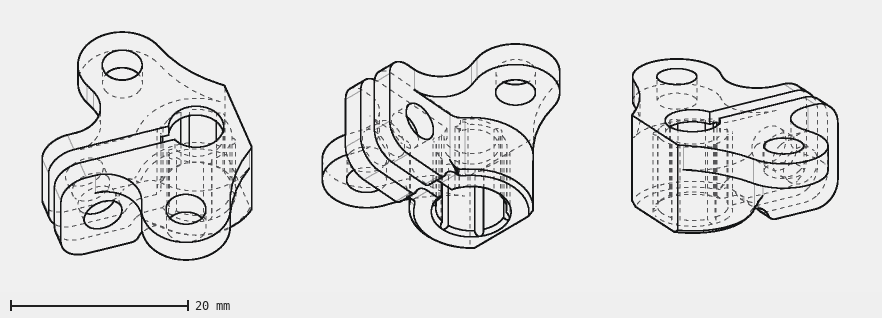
import cadquery as cq
import math


plate_thickness = 3.0
back_y = 5.0
lug_radius = 5.0
lug_pitch_radius = 12.5
lug_y = -5.0
lug_x = math.sqrt(lug_pitch_radius**2 - lug_y**2)
lug_hole_diameter = 4.5
upper_blend_radius = 15.0
lower_blend_radius = 4.0
lower_edge_angle = math.radians(18.5)

boss_radius = 7.0
boss_bottom_z = -11.0
boss_ear_fillet = 2.0
chamfer_size = 0.5

lip_diameter = 6.2
lip_depth = 1.5
socket_radius = 4.0
groove_radius = 0.5
groove_count = 6

slot_width = 2.1
ear_half_width = 3.4
ear_front_y = -17.17
ear_bottom_z = -12.9
ear_corner_radius = 3.0
ear_hole_diameter = 4.5
ear_hole_setback = 5.0
ear_hole_y = ear_front_y + ear_hole_setback
ear_hole_z = -7.0
ear_step_end_y = -8.9
ear_step_upper_radius = 2.0
ear_step_lower_radius = 1.0

trim_height = 1.34
trim_run = 1.5

overshoot = 1.0

boss_fillet_x = ear_half_width + boss_ear_fillet
boss_fillet_y = -math.sqrt((boss_radius + boss_ear_fillet) ** 2 - boss_fillet_x**2)


def blend_center(x1, y1, r1, x2, y2, r2):
    """Where two circles cross, on the left of the line from center 1 to center 2."""
    distance = math.hypot(x2 - x1, y2 - y1)
    along = (distance**2 + r1**2 - r2**2) / (2 * distance)
    aside = math.sqrt(r1**2 - along**2)
    ux = (x2 - x1) / distance
    uy = (y2 - y1) / distance
    return x1 + along * ux - aside * uy, y1 + along * uy + aside * ux


def toward(x1, y1, x2, y2, distance):
    """Point at a given distance from point 1 in the direction of point 2."""
    length = math.hypot(x2 - x1, y2 - y1)
    return x1 + (x2 - x1) * distance / length, y1 + (y2 - y1) * distance / length


def arc_middle(center_x, center_y, radius, start, end):
    """Middle of the shorter arc between two points on a circle."""
    chord_x = (start[0] + end[0]) / 2
    chord_y = (start[1] + end[1]) / 2
    return toward(center_x, center_y, chord_x, chord_y, radius)


def polar(center_x, center_y, radius, angle):
    """Point on a circle at an angle measured from the first axis."""
    return center_x + radius * math.cos(angle), center_y + radius * math.sin(angle)


def make_plate():
    """Flange plate with two rounded mounting lugs."""
    back_corner = (math.sqrt(boss_radius**2 - back_y**2), back_y)
    upper_x, upper_y = blend_center(
        0, 0, boss_radius + upper_blend_radius, lug_x, lug_y, lug_radius + upper_blend_radius
    )
    boss_tangent = toward(0, 0, upper_x, upper_y, boss_radius)
    boss_middle = arc_middle(0, 0, boss_radius, back_corner, boss_tangent)
    lug_tangent = toward(lug_x, lug_y, upper_x, upper_y, lug_radius)
    upper_middle = arc_middle(upper_x, upper_y, upper_blend_radius, boss_tangent, lug_tangent)

    edge_normal = -math.pi / 2 - lower_edge_angle
    lug_end = polar(lug_x, lug_y, lug_radius, edge_normal)
    lower_x = ear_half_width + lower_blend_radius
    edge_end_x = lower_x + lower_blend_radius * math.sin(lower_edge_angle)
    edge_end_y = lug_end[1] + (lug_end[0] - edge_end_x) * math.tan(lower_edge_angle)
    lower_y = edge_end_y - lower_blend_radius * math.cos(lower_edge_angle)
    edge_end = (edge_end_x, edge_end_y)
    ear_point = (ear_half_width, lower_y)
    lower_middle = arc_middle(lower_x, lower_y, lower_blend_radius, edge_end, ear_point)

    half = (
        cq.Workplane("XY")
        .moveTo(0, back_y)
        .lineTo(*back_corner)
        .threePointArc(boss_middle, boss_tangent)
        .threePointArc(upper_middle, lug_tangent)
        .threePointArc((lug_x + lug_radius, lug_y), lug_end)
        .lineTo(*edge_end)
        .threePointArc(lower_middle, ear_point)
        .lineTo(0, lower_y)
        .close()
        .extrude(-plate_thickness)
    )
    plate = half.union(half.mirror("YZ"))
    lug_holes = (
        cq.Workplane("XY")
        .pushPoints([(-lug_x, lug_y), (lug_x, lug_y)])
        .circle(lug_hole_diameter / 2)
        .extrude(-plate_thickness)
    )
    return plate.cut(lug_holes)


def make_boss():
    """Flat-backed round boss, blended into the ear faces and chamfered at the bottom."""
    back_corner = (math.sqrt(boss_radius**2 - back_y**2), back_y)
    tangent = toward(0, 0, boss_fillet_x, boss_fillet_y, boss_radius)
    ear_point = (ear_half_width, boss_fillet_y)
    fillet_middle = arc_middle(boss_fillet_x, boss_fillet_y, boss_ear_fillet, tangent, ear_point)
    half = (
        cq.Workplane("XY")
        .moveTo(0, back_y)
        .lineTo(*back_corner)
        .threePointArc((boss_radius, 0), tangent)
        .threePointArc(fillet_middle, ear_point)
        .lineTo(0, boss_fillet_y)
        .close()
        .extrude(boss_bottom_z)
    )
    boss = half.union(half.mirror("YZ"))
    boss = boss.faces("<Z").edges("%CIRCLE").chamfer(chamfer_size)
    trim = (
        cq.Workplane("YZ")
        .moveTo(boss_fillet_y, boss_bottom_z)
        .lineTo(boss_fillet_y, boss_bottom_z + trim_height)
        .lineTo(boss_fillet_y + trim_run, boss_bottom_z)
        .close()
        .extrude(boss_radius, both=True)
    )
    return boss.cut(trim)


def make_ears():
    """Both clamp ears as one block, with its cross hole, that the slot later splits."""
    drop = boss_bottom_z - ear_bottom_z
    radius_sum = ear_step_upper_radius + ear_step_lower_radius
    step_angle = math.acos(1 - drop / radius_sum)
    step_start_y = ear_step_end_y + radius_sum * math.sin(step_angle)
    upper_center = (step_start_y, boss_bottom_z - ear_step_upper_radius)
    lower_center = (ear_step_end_y, ear_bottom_z + ear_step_lower_radius)
    inflection = polar(*upper_center, ear_step_upper_radius, math.pi / 2 + step_angle)
    upper_middle = polar(*upper_center, ear_step_upper_radius, math.pi / 2 + step_angle / 2)
    lower_middle = polar(*lower_center, ear_step_lower_radius, -math.pi / 2 + step_angle / 2)
    profile = (
        cq.Workplane("YZ")
        .moveTo(0, 0)
        .lineTo(ear_front_y, 0)
        .lineTo(ear_front_y, ear_bottom_z)
        .lineTo(ear_step_end_y, ear_bottom_z)
        .threePointArc(lower_middle, inflection)
        .threePointArc(upper_middle, (step_start_y, boss_bottom_z))
        .lineTo(0, boss_bottom_z)
        .close()
    )
    ears = profile.extrude(ear_half_width, both=True)
    ears = ears.edges("|X and <Y").fillet(ear_corner_radius)
    hole = (
        cq.Workplane("YZ")
        .center(ear_hole_y, ear_hole_z)
        .circle(ear_hole_diameter / 2)
        .extrude(ear_half_width, both=True)
    )
    return ears.cut(hole)


def make_bore():
    """Narrow lip above a grooved socket with a chamfered mouth."""
    lip = cq.Workplane("XY").circle(lip_diameter / 2).extrude(-lip_depth)
    socket_height = -boss_bottom_z - lip_depth
    bottom = cq.Workplane("XY", origin=(0, 0, boss_bottom_z))
    socket = bottom.circle(socket_radius).extrude(socket_height)
    grooves = (
        bottom
        .polarArray(socket_radius, 0, 360, groove_count)
        .circle(groove_radius)
        .extrude(socket_height)
    )
    mouth = (
        bottom
        .circle(socket_radius + chamfer_size)
        .workplane(offset=chamfer_size)
        .circle(socket_radius)
        .loft()
    )
    return lip.union(socket).union(grooves).union(mouth)


def make_slot():
    """Slot from the bore axis out through the front, splitting the ears."""
    length = -ear_front_y + overshoot
    height = -ear_bottom_z + overshoot
    return (
        cq.Workplane("XY", origin=(0, -length, ear_bottom_z - overshoot / 2))
        .box(slot_width, length, height, centered=(True, False, False))
    )


result = (
    make_plate()
    .union(make_boss())
    .union(make_ears())
    .cut(make_bore())
    .cut(make_slot())
)